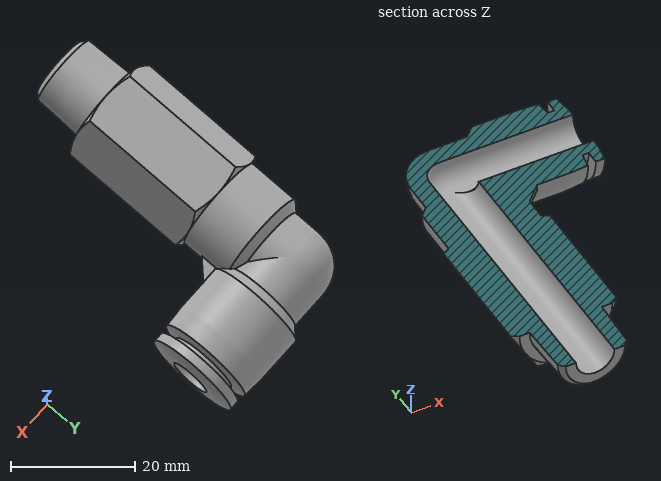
import cadquery as cq
import math


elbow_radius = 7.0
bore_radius = 3.5

stem_radius = 8.5
stem_cone_start = 5.0
stem_cone_end = stem_cone_start + stem_radius - elbow_radius
hex_start = 15.5
hex_across_flats = 17.0
hex_corner_radius = hex_across_flats / math.sqrt(3)
hex_chamfer_angle = 30.0
stem_length = 49.7
thread_length = 10.0
hex_end = stem_length - thread_length

thread_root_radius = 6.65
thread_taper = 1 / 32
thread_chamfer_length = 0.95
thread_tip_radius = 5.4

socket_radius = 8.75
socket_cone_start = 7.0
socket_cone_end = socket_cone_start + socket_radius - elbow_radius
socket_taper_start = 17.5
socket_band_start = 19.8
socket_band_radius = 8.58
socket_end_radius = 8.5
socket_rim = 20.9
end_face_angle = 9.0
end_face_slope = math.tan(math.radians(end_face_angle))

ring_neck_radius = 5.9
socket_end = socket_rim + (socket_end_radius - ring_neck_radius) * end_face_slope
ring_start = 22.4
ring_radius = 8.3
ring_mouth_radius = 5.2
overall_length_x = 34.41
ring_end = overall_length_x - hex_corner_radius
ring_rim = ring_end - (ring_radius - ring_mouth_radius) * end_face_slope

rib_thickness = 2.0
rib_reach = 20.2


def turned_about_y(profile):
    """Revolve (radius, distance towards -Y) points about the Y axis."""
    points = [(radius, -distance) for radius, distance in profile]
    return cq.Workplane("XY").polyline(points).close().revolve(360, (0, 0, 0), (0, 1, 0))


def turned_about_x(profile):
    """Revolve (radius, distance towards +X) points about the X axis."""
    points = [(distance, radius) for radius, distance in profile]
    return cq.Workplane("XY").polyline(points).close().revolve(360, (0, 0, 0), (1, 0, 0))


def make_stem():
    """Round shank from the elbow centre to the hexagon."""
    return turned_about_y([
        (0, 0),
        (elbow_radius, 0),
        (elbow_radius, stem_cone_start),
        (stem_radius, stem_cone_end),
        (stem_radius, hex_start),
        (0, hex_start),
    ])


def make_hexagon():
    """Hexagon with corners on +X and -X, its corners chamfered at both ends."""
    hexagon = (
        cq.Workplane("XZ", origin=(0, -hex_start, 0))
        .polygon(6, 2 * hex_corner_radius)
        .extrude(hex_end - hex_start)
    )
    face_radius = hex_across_flats / 2
    chamfer_height = (hex_corner_radius - face_radius) * math.tan(math.radians(hex_chamfer_angle))
    envelope = turned_about_y([
        (0, hex_start),
        (face_radius, hex_start),
        (hex_corner_radius, hex_start + chamfer_height),
        (hex_corner_radius, hex_end - chamfer_height),
        (face_radius, hex_end),
        (0, hex_end),
    ])
    return hexagon.intersect(envelope)


def make_thread():
    """Plain tapered thread body with a chamfered tip."""
    chamfer_start = stem_length - thread_chamfer_length
    chamfer_start_radius = thread_root_radius - thread_taper * (chamfer_start - hex_end)
    return turned_about_y([
        (0, hex_end),
        (thread_root_radius, hex_end),
        (chamfer_start_radius, chamfer_start),
        (thread_tip_radius, stem_length),
        (0, stem_length),
    ])


def make_socket():
    """Socket body, ring neck and release ring."""
    return turned_about_x([
        (0, 0),
        (elbow_radius, 0),
        (elbow_radius, socket_cone_start),
        (socket_radius, socket_cone_end),
        (socket_radius, socket_taper_start),
        (socket_band_radius, socket_band_start),
        (socket_end_radius, socket_rim),
        (ring_neck_radius, socket_end),
        (ring_neck_radius, ring_start),
        (ring_radius, ring_start),
        (ring_radius, ring_rim),
        (ring_mouth_radius, ring_end),
        (0, ring_end),
    ])


def make_rib():
    """Thin triangular rib filling the inner corner, with its right angle inside the body."""
    corner = elbow_radius
    return (
        cq.Workplane("XY")
        .polyline([(corner, -corner), (rib_reach - corner, -corner), (corner, corner - rib_reach)])
        .close()
        .extrude(rib_thickness / 2, both=True)
    )


def make_bore():
    """Round passage through both legs, joined by a ball at the elbow centre."""
    stem_bore = cq.Workplane("XZ").circle(bore_radius).extrude(stem_length)
    socket_bore = cq.Workplane("YZ").circle(bore_radius).extrude(ring_end)
    return cq.Workplane("XY").sphere(bore_radius).union(stem_bore).union(socket_bore)


body = cq.Workplane("XY").sphere(elbow_radius)
for piece in (make_stem(), make_hexagon(), make_thread(), make_socket(), make_rib()):
    body = body.union(piece)

result = body.cut(make_bore())